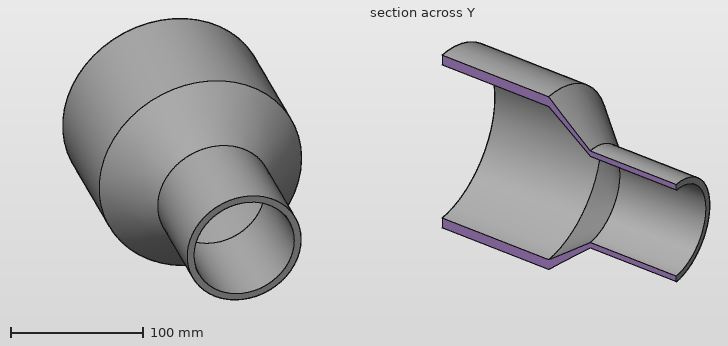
import cadquery as cq

total_length = 215.0
large_length = 97.8
cone_length = 38.3
large_outer_diameter = 160.0
large_bore_diameter = 141.0
small_outer_diameter = 90.0
small_bore_diameter = 79.1

cone_start = large_length
cone_end = large_length + cone_length


def stepped_solid(large_diameter, small_diameter):
    """Large cylinder, cone and small cylinder, revolved about the X axis."""
    large_radius = large_diameter / 2
    small_radius = small_diameter / 2
    return (
        cq.Workplane("XY")
        .moveTo(0, 0)
        .lineTo(0, large_radius)
        .lineTo(cone_start, large_radius)
        .lineTo(cone_end, small_radius)
        .lineTo(total_length, small_radius)
        .lineTo(total_length, 0)
        .close()
        .revolve(360, (0, 0, 0), (1, 0, 0))
    )


body = stepped_solid(large_outer_diameter, small_outer_diameter)
bore = stepped_solid(large_bore_diameter, small_bore_diameter)
result = body.cut(bore)